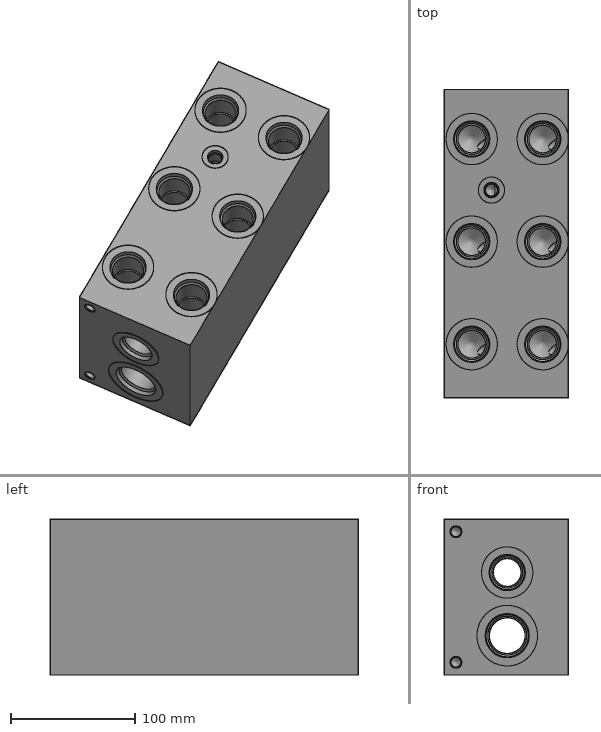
import cadquery as cq
import math

INCH = 25.4

block_x = 3.938 * INCH
block_y = 248.18
block_z = 4.938 * INCH

spotface_depth = 0.02 * INCH
seat_half_angle = 12
drill_point_angle = 118

small_port = dict(
    spotface=0.828 * INCH,
    seat=0.487 * INCH,
    thread=0.39 * INCH,
    seat_depth=0.1 * INCH,
    thread_depth=0.55 * INCH,
)
medium_port = dict(
    spotface=1.625 * INCH,
    seat=1.148 * INCH,
    thread=0.98 * INCH,
    seat_depth=0.13 * INCH,
    thread_depth=0.94 * INCH,
)
large_port = dict(
    spotface=1.92 * INCH,
    seat=1.398 * INCH,
    thread=1.23 * INCH,
    seat_depth=0.13 * INCH,
    thread_depth=0.94 * INCH,
)

gallery_x = 2.0 * INCH
upper_gallery_z = 3.25 * INCH
lower_gallery_z = 1.25 * INCH
upper_gallery_diameter = 0.875 * INCH
lower_gallery_diameter = 1.125 * INCH

top_port_columns = [0.875 * INCH, 3.125 * INCH]
top_port_first_y = 1.7 * INCH
top_port_pitch = 3.25 * INCH
top_port_row_count = 3
top_port_drill = 0.875 * INCH
top_port_depth = block_z - upper_gallery_z

passage_diameter = 0.375 * INCH
passage_offset_y = -4.4
passage_rise = 2.4
passage_length = 19.0
passage_z = block_z - top_port_depth + passage_rise

gauge_x = 1.5 * INCH
gauge_y = 167.2
gauge_drill = 0.375 * INCH
gauge_overrun = 4.0
gauge_depth = block_z - upper_gallery_z + gauge_overrun

mount_x = 0.375 * INCH
mount_heights = [10.3, 115.4]
mount_drill = 0.3125 * INCH
mount_countersink = 0.375 * INCH
mount_depth = 1.0 * INCH


def revolved(profile):
    """Cutting tool turned about Z from (radius, z) points."""
    return cq.Workplane("XZ").polyline(profile).close().revolve(360, (0, 0), (0, 1))


def blind_hole(diameter, depth):
    """Drilled hole pointing down from the origin, with a conical point below its full depth."""
    radius = diameter / 2
    point_length = radius / math.tan(math.radians(drill_point_angle / 2))
    return revolved([(0, 0), (radius, 0), (radius, -depth), (0, -depth - point_length)])


def port(size):
    """Spotface, tapered seat and thread bore pointing down from the origin."""
    spotface_radius = size["spotface"] / 2
    seat_radius = size["seat"] / 2
    thread_radius = size["thread"] / 2
    seat_end_radius = seat_radius - size["seat_depth"] * math.tan(math.radians(seat_half_angle))
    seat_end_z = -spotface_depth - size["seat_depth"]
    thread_start_z = seat_end_z - (seat_end_radius - thread_radius)
    thread_end_z = -spotface_depth - size["thread_depth"]
    return revolved([
        (0, 0),
        (spotface_radius, 0),
        (spotface_radius, -spotface_depth),
        (seat_radius, -spotface_depth),
        (seat_end_radius, seat_end_z),
        (thread_radius, thread_start_z),
        (thread_radius, thread_end_z),
        (0, thread_end_z),
    ])


def countersink(large_diameter, small_diameter):
    """45 degree countersink pointing down from the origin."""
    large_radius = large_diameter / 2
    small_radius = small_diameter / 2
    depth = large_radius - small_radius
    return revolved([(0, 0), (large_radius, 0), (small_radius, -depth), (0, -depth)])


def on_top(tool, x, y):
    """Place a downward tool on the top face."""
    return tool.translate((x, y, block_z))


def on_front(tool, x, z):
    """Turn a downward tool to point in +Y and place it on the front face."""
    return tool.rotate((0, 0, 0), (1, 0, 0), 90).translate((x, 0, z))


def cut_gallery(body, size, diameter, z):
    bore = cq.Workplane("XZ", origin=(gallery_x, 0, z)).circle(diameter / 2).extrude(-block_y)
    return body.cut(bore).cut(on_front(port(size), gallery_x, z))


def cut_top_port(body, x, y):
    passage_start = (x, y + passage_offset_y, passage_z)
    passage = cq.Workplane("YZ", origin=passage_start).circle(passage_diameter / 2).extrude(passage_length)
    body = body.cut(on_top(port(medium_port), x, y))
    body = body.cut(on_top(blind_hole(top_port_drill, top_port_depth), x, y))
    return body.cut(passage)


def cut_gauge_port(body):
    body = body.cut(on_top(port(small_port), gauge_x, gauge_y))
    return body.cut(on_top(blind_hole(gauge_drill, gauge_depth), gauge_x, gauge_y))


def cut_mounting_hole(body, z):
    body = body.cut(on_front(blind_hole(mount_drill, mount_depth), mount_x, z))
    return body.cut(on_front(countersink(mount_countersink, mount_drill), mount_x, z))


block = cq.Workplane("XY").box(block_x, block_y, block_z, centered=False)
block = cut_gallery(block, medium_port, upper_gallery_diameter, upper_gallery_z)
block = cut_gallery(block, large_port, lower_gallery_diameter, lower_gallery_z)
for port_x in top_port_columns:
    for row in range(top_port_row_count):
        block = cut_top_port(block, port_x, top_port_first_y + row * top_port_pitch)
block = cut_gauge_port(block)
for mount_z in mount_heights:
    block = cut_mounting_hole(block, mount_z)

result = cq.Compound.makeCompound([block.solids().val()])